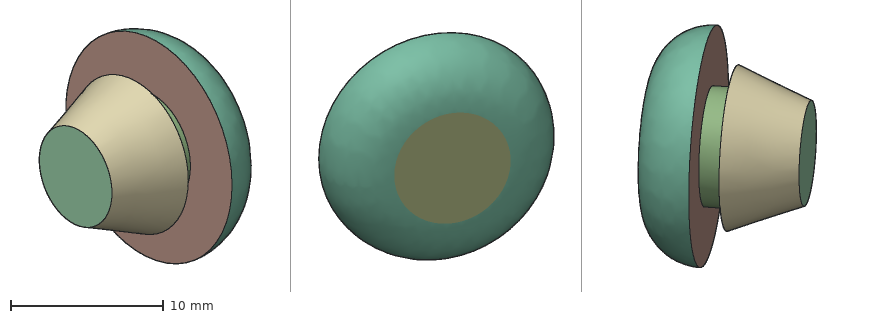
import cadquery as cq
import math

head_radius = 8.0
head_thickness = 4.0
dome_radius = head_thickness
neck_radius = 4.0
neck_length = 1.6
barb_radius = 5.5
tip_radius = 3.5
barb_length = 5.0

head_top_y = head_thickness
barb_shoulder_y = -neck_length
tip_y = barb_shoulder_y - barb_length

dome_flat_radius = head_radius - dome_radius
rim_mid_offset = dome_radius * math.cos(math.radians(45))
rim_midpoint = (dome_flat_radius + rim_mid_offset, rim_mid_offset)


def half_profile():
    """Radial half-section in the XY plane, from the tip up to the head top."""
    return (
        cq.Workplane("XY")
        .moveTo(0, tip_y)
        .lineTo(tip_radius, tip_y)
        .lineTo(barb_radius, barb_shoulder_y)
        .lineTo(neck_radius, barb_shoulder_y)
        .lineTo(neck_radius, 0)
        .lineTo(head_radius, 0)
        .threePointArc(rim_midpoint, (dome_flat_radius, head_top_y))
        .lineTo(0, head_top_y)
        .close()
    )


result = half_profile().revolve(360, (0, 0, 0), (0, 1, 0))